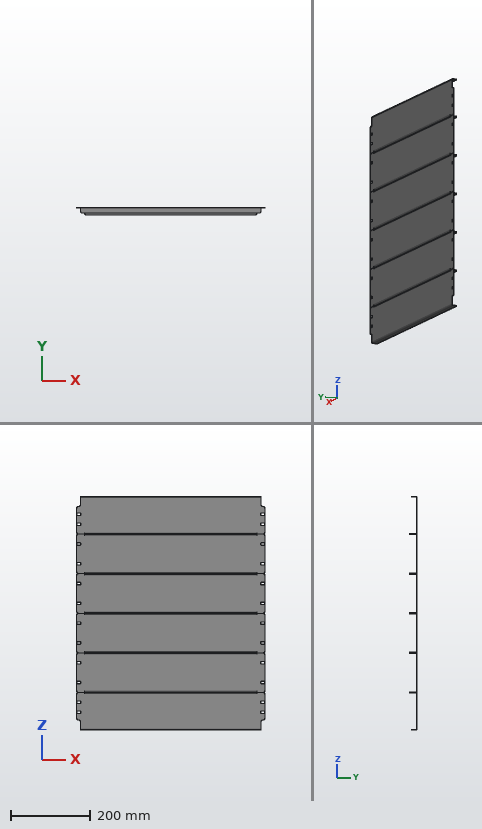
import cadquery as cq
import math

sheet = 1.5
bend_radius = 1.5
outer_bend_radius = bend_radius + sheet

panel_width = 476.5
stack_height = 590.0
pitch = 100.0
inner_panel_count = 4
inner_stack_top = inner_panel_count * pitch / 2
panel_corner_radius = 5.0

joint_flange_depth = 20.0
joint_flange_inset = 20.25
outer_flange_depth = 15.0
outer_flange_inset = 10.0
flange_corner_radius = 5.0

notch_height = 25.0
notch_radius = outer_flange_inset / 2

slot_length = 9.5
slot_height = 5.5
slot_corner_radius = 1.0
slot_edge_gap = 1.0
slot_spacing = 25.0
slot_center_x = panel_width / 2 - slot_edge_gap - slot_length / 2


def inner_sheet(z_low, z_high):
    """Flat rectangle with rounded corners."""
    return (
        cq.Workplane("XZ", origin=(0, 0, (z_low + z_high) / 2))
        .rect(panel_width, z_high - z_low)
        .extrude(sheet)
        .edges("|Y")
        .fillet(panel_corner_radius)
    )


def end_sheet(z_low, z_high):
    """Flat sheet with rounded lower corners and notched upper corners."""
    half_width = panel_width / 2
    half_neck = half_width - outer_flange_inset
    shoulder_z = z_high - notch_height
    return (
        cq.Workplane("XZ")
        .moveTo(0, z_low)
        .lineTo(half_width - panel_corner_radius, z_low)
        .tangentArcPoint((half_width, z_low + panel_corner_radius), relative=False)
        .lineTo(half_width, shoulder_z - notch_radius)
        .tangentArcPoint((half_width - notch_radius, shoulder_z), relative=False)
        .tangentArcPoint((half_neck, shoulder_z + notch_radius), relative=False)
        .lineTo(half_neck, z_high)
        .lineTo(0, z_high)
        .mirrorY()
        .extrude(sheet)
    )


def flange(edge_z, inward, depth, length):
    """Bent flange along a horizontal edge; inward (+1 or -1) is the Z direction into the panel."""
    bend_y = -outer_bend_radius
    bend_z = edge_z + inward * outer_bend_radius
    inner_z = edge_z + inward * sheet

    def bend_middle(radius):
        offset = radius * math.sqrt(0.5)
        return (bend_y + offset, bend_z - inward * offset)

    return (
        cq.Workplane("YZ", origin=(-length / 2, 0, 0))
        .moveTo(0, bend_z)
        .threePointArc(bend_middle(outer_bend_radius), (bend_y, edge_z))
        .lineTo(-depth, edge_z)
        .lineTo(-depth, inner_z)
        .lineTo(bend_y, inner_z)
        .threePointArc(bend_middle(bend_radius), (-sheet, bend_z))
        .close()
        .extrude(length)
        .edges("|Z and <Y")
        .fillet(flange_corner_radius)
    )


def add_flange(panel, edge_z, inward, depth, inset):
    """Replace the strip of flat sheet along a horizontal edge by a bent flange."""
    length = panel_width - 2 * inset
    bend_strip = cq.Workplane(
        "XY", origin=(0, -sheet / 2, edge_z + inward * outer_bend_radius / 2)
    ).box(length, sheet, outer_bend_radius)
    return panel.cut(bend_strip).union(flange(edge_z, inward, depth, length))


def add_joint_flange(panel, edge_z, inward):
    return add_flange(panel, edge_z, inward, joint_flange_depth, joint_flange_inset)


def cut_slots(panel, heights):
    """Rounded slots next to both side edges at the given heights."""
    centers = [(side * slot_center_x, z) for side in (-1, 1) for z in heights]
    slots = (
        cq.Workplane("XZ")
        .pushPoints(centers)
        .rect(slot_length, slot_height)
        .extrude(sheet)
        .edges("|Y")
        .fillet(slot_corner_radius)
    )
    return panel.cut(slots)


def inner_panel(z_low):
    """Panel with a joint flange along both its lower and upper edges."""
    z_high = z_low + pitch
    panel = inner_sheet(z_low, z_high)
    panel = add_joint_flange(panel, z_low, 1)
    panel = add_joint_flange(panel, z_high, -1)
    return cut_slots(panel, [z_low + slot_spacing, z_high - slot_spacing])


def top_end_panel():
    """Panel with a joint flange below and a shallower flange along its notched upper edge."""
    z_low = inner_stack_top
    z_high = stack_height / 2
    panel = end_sheet(z_low, z_high)
    panel = add_joint_flange(panel, z_low, 1)
    panel = add_flange(panel, z_high, -1, outer_flange_depth, outer_flange_inset)
    return cut_slots(panel, [z_low + slot_spacing, z_low + 2 * slot_spacing])


inner_panels = [inner_panel(n * pitch - inner_stack_top) for n in range(inner_panel_count)]
top_panel = top_end_panel()
bottom_panel = top_panel.mirror("XY")

result = cq.Compound.makeCompound(
    [panel.val() for panel in [bottom_panel, *inner_panels, top_panel]]
)